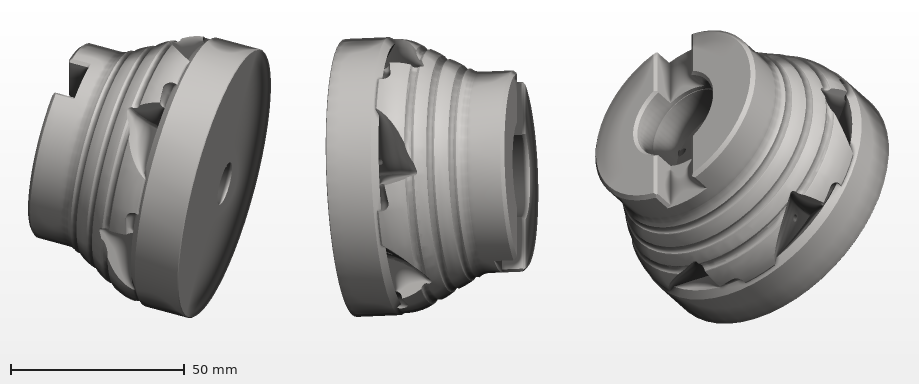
import cadquery as cq
import math


LENGTH = 50.1
FLANGE_RADIUS = 40.0
POCKET_COUNT = 6

HUB_RADIUS = 28.95
HUB_LENGTH = 10.8
HUB_CHAMFER = 1.0

RIBS = [
    ((16.0, 31.1), (17.8, 32.2), (19.6, 33.0)),
    ((21.8, 34.2), (23.4, 35.3), (25.1, 36.1)),
    ((27.7, 37.35), (30.9, 38.8), (35.5, 39.4)),
]
FIRST_CREST = (13.75, 30.1)
NECK_MIDDLE = (12.4, 29.3)
GROOVE_LIP = 0.7
GROOVE_DROP = 0.2
GROOVE_STEP = 0.15
LAND_END = (36.15, 39.1)
CORE_END = 44.0

FLANGE_FACE = 34.95
RIM_CHAMFER = 1.9
BACK_CHAMFER = 0.2
SEAT_ANGLE = 30.0
SEAT_INNER_RADIUS = 22.4

BORE_RADIUS = 13.35
BORE_RELIEF = 0.2
BORE_ENTRY_DEPTH = 8.1
BORE_LAND_END = 17.75
BORE_DEPTH = 19.35
BORE_CHAMFER = 0.9
SCREW_RADIUS = 6.3
SCREW_CHAMFER = 1.1

SLOT_HALF_WIDTH = 6.1
SLOT_DEPTH = 6.7
SLOT_CHAMFER_WIDTH = 1.0
SLOT_CHAMFER_DEPTH = 0.6

WALL_OFFSET = 8.2
WALL_TILT = 10.0
FLOOR_POINTS = [(22.4, 35.9), (29.6, 28.9), (43.2, 24.0)]
POCKET_TOP = 48.0
POCKET_RUN = 48.0
FLOOR_FILLET = 0.95

RELIEF_RADIUS = 2.4
RELIEF_CENTRE = (35.7, 38.4)
RELIEF_LENGTH = 4.95

COOLANT_DIAMETER = 2.1
COOLANT_START = (BORE_DEPTH, -10.4, 7.4)
COOLANT_EXIT = (36.8, -12.0, 26.0)
COOLANT_OVERRUN = 1.6


def revolve_about_x(profile):
    """Turn a closed (X, radius) outline about the part's axis."""
    return profile.close().revolve(360, (0, 0, 0), (1, 0, 0))


def around_axis(shape):
    """Yield the shape once for each pocket."""
    for index in range(POCKET_COUNT):
        yield shape.rotate((0, 0, 0), (1, 0, 0), index * 360 / POCKET_COUNT)


def ribbed_body():
    outline = (
        cq.Workplane("XY")
        .lineTo(0, HUB_RADIUS - HUB_CHAMFER)
        .lineTo(HUB_CHAMFER, HUB_RADIUS)
        .lineTo(HUB_LENGTH, HUB_RADIUS)
        .threePointArc(NECK_MIDDLE, FIRST_CREST)
    )
    crest_x, crest_r = FIRST_CREST
    for start, middle, crest in RIBS:
        valley = (crest_x + GROOVE_LIP, crest_r - GROOVE_DROP)
        step_foot = (start[0] - GROOVE_STEP, start[1] - GROOVE_STEP)
        bend = (
            valley[0] + (step_foot[0] - valley[0]) * math.sin(math.pi / 4),
            step_foot[1] - (step_foot[1] - valley[1]) * math.cos(math.pi / 4),
        )
        outline = outline.lineTo(*valley).threePointArc(bend, step_foot)
        outline = outline.lineTo(*start).threePointArc(middle, crest)
        crest_x, crest_r = crest
    outline = outline.lineTo(*LAND_END).lineTo(CORE_END, LAND_END[1]).lineTo(CORE_END, 0)
    return revolve_about_x(outline)


def flange():
    """Flange ring whose front leans inwards as a cone, forming the back of every pocket."""
    rim_radius = FLANGE_RADIUS - RIM_CHAMFER
    seat_depth = (rim_radius - SEAT_INNER_RADIUS) * math.tan(math.radians(SEAT_ANGLE))
    seat_end = FLANGE_FACE + seat_depth
    return revolve_about_x(
        cq.Workplane("XY")
        .moveTo(seat_end, 0)
        .lineTo(seat_end, SEAT_INNER_RADIUS)
        .lineTo(FLANGE_FACE, rim_radius)
        .lineTo(FLANGE_FACE + RIM_CHAMFER, FLANGE_RADIUS)
        .lineTo(LENGTH - BACK_CHAMFER, FLANGE_RADIUS)
        .lineTo(LENGTH, FLANGE_RADIUS - BACK_CHAMFER)
        .lineTo(LENGTH, 0)
    )


def wall_plane():
    """Plane of the pocket wall: local X near the part's axis, local Y upwards."""
    tilt = math.radians(WALL_TILT)
    return cq.Plane(
        origin=(FLANGE_FACE, -WALL_OFFSET, 0),
        xDir=(math.cos(tilt), math.sin(tilt), 0),
        normal=(math.sin(tilt), -math.cos(tilt), 0),
    )


def pocket_cutter():
    start, middle, end = [(x - FLANGE_FACE, height) for x, height in FLOOR_POINTS]
    chip_space = (
        cq.Workplane(wall_plane())
        .moveTo(start[0], POCKET_TOP)
        .lineTo(*start)
        .threePointArc(middle, end)
        .lineTo(end[0], POCKET_TOP)
        .close()
        .extrude(POCKET_RUN)
    )
    floor_edge_point = wall_plane().toWorldCoords(middle)
    floor_edge = cq.selectors.NearestToPointSelector(floor_edge_point.toTuple())
    return chip_space.edges(floor_edge).fillet(FLOOR_FILLET)


def relief_cutter():
    """Round-ended groove running back from the pocket wall beside the flange."""
    centre = (RELIEF_CENTRE[0] - FLANGE_FACE, RELIEF_CENTRE[1])
    groove = cq.Workplane(wall_plane()).center(*centre).circle(RELIEF_RADIUS).extrude(-RELIEF_LENGTH)
    ball_centre = wall_plane().toWorldCoords((*centre, -RELIEF_LENGTH))
    ball = cq.Workplane("XY").sphere(RELIEF_RADIUS).translate(ball_centre)
    return groove.union(ball)


def coolant_cutter():
    start = cq.Vector(*COOLANT_START)
    path = cq.Vector(*COOLANT_EXIT) - start
    direction = path.normalized()
    return cq.Workplane(
        cq.Solid.makeCylinder(
            COOLANT_DIAMETER / 2,
            path.Length + 2 * COOLANT_OVERRUN,
            start - direction * COOLANT_OVERRUN,
            direction,
        )
    )


def bore_cutter():
    entry_radius = BORE_RADIUS + BORE_RELIEF
    return revolve_about_x(
        cq.Workplane("XY")
        .lineTo(0, entry_radius + BORE_CHAMFER)
        .lineTo(BORE_CHAMFER, entry_radius)
        .lineTo(BORE_ENTRY_DEPTH, entry_radius)
        .lineTo(BORE_ENTRY_DEPTH, BORE_RADIUS)
        .lineTo(BORE_LAND_END, BORE_RADIUS)
        .lineTo(BORE_LAND_END, entry_radius)
        .lineTo(BORE_DEPTH, entry_radius)
        .lineTo(BORE_DEPTH, SCREW_RADIUS + SCREW_CHAMFER)
        .lineTo(BORE_DEPTH + SCREW_CHAMFER, SCREW_RADIUS)
        .lineTo(LENGTH, SCREW_RADIUS)
        .lineTo(LENGTH, 0)
    )


def slot_cutter():
    """Cross slot along Z with bevelled mouth and bevelled ends at the hub's outer surface."""
    mouth = SLOT_HALF_WIDTH + SLOT_CHAMFER_WIDTH
    slot = (
        cq.Workplane("XY")
        .moveTo(0, -mouth)
        .lineTo(SLOT_CHAMFER_DEPTH, -SLOT_HALF_WIDTH)
        .lineTo(SLOT_DEPTH, -SLOT_HALF_WIDTH)
        .lineTo(SLOT_DEPTH, SLOT_HALF_WIDTH)
        .lineTo(SLOT_CHAMFER_DEPTH, SLOT_HALF_WIDTH)
        .lineTo(0, mouth)
        .close()
        .extrude(HUB_RADIUS, both=True)
    )
    end_height = math.sqrt(HUB_RADIUS**2 - mouth**2)
    for side in (1, -1):
        flare = (
            cq.Workplane("YZ")
            .moveTo(-SLOT_HALF_WIDTH, side * (end_height - SLOT_CHAMFER_DEPTH))
            .lineTo(-mouth, side * end_height)
            .lineTo(-mouth, side * HUB_RADIUS)
            .lineTo(mouth, side * HUB_RADIUS)
            .lineTo(mouth, side * end_height)
            .lineTo(SLOT_HALF_WIDTH, side * (end_height - SLOT_CHAMFER_DEPTH))
            .close()
            .extrude(SLOT_DEPTH)
        )
        slot = slot.union(flare)
    return slot


result = ribbed_body()
for cutter in (pocket_cutter(), relief_cutter()):
    for placed_cutter in around_axis(cutter):
        result = result.cut(placed_cutter)
result = result.union(flange())
result = result.cut(bore_cutter()).cut(slot_cutter())
for coolant_hole in around_axis(coolant_cutter()):
    result = result.cut(coolant_hole)